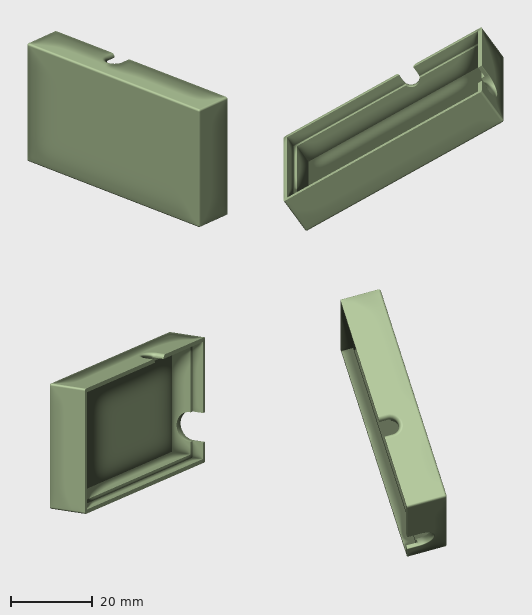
import cadquery as cq

width = 57.7
depth = 10.2
height = 31.8
edge_radius = 0.5

wall = 2.0
front_thickness = wall
rebate_wall = 1.05
rebate_depth = 2.95

top_notch_x = 22.05
top_notch_width = 4.15
top_notch_depth = 4.3
top_lip_radius = 1.0

side_notch_z = 8.95
side_notch_width = 7.5
side_notch_depth = 6.9
side_lip_radius = 0.2

edge_clearance = 0.05


def notch_cutter(plane, center, notch_width, notch_depth):
    """Round-ended notch running in from the open back, cut one wall deep along the plane normal."""
    radius = notch_width / 2
    arc_y = depth - notch_depth + radius
    return (
        cq.Workplane(plane)
        .moveTo(center - radius, depth)
        .lineTo(center - radius, arc_y)
        .threePointArc((center, depth - notch_depth), (center + radius, arc_y))
        .lineTo(center + radius, depth)
        .close()
        .extrude(-wall)
    )


def cavity(side_wall, start_y):
    """Rectangular hollow inside the given side wall, from start_y to the open back."""
    size_x = width - 2 * side_wall
    size_z = height - 2 * side_wall
    block = cq.Workplane("XY").box(size_x, depth - start_y, size_z, centered=False)
    return block.translate((side_wall, start_y, side_wall))


def notch_rim(center, reach):
    """Selector for the rim of a notch mouth: edges centred within reach of its middle, short of the back."""
    (x, z), (reach_x, reach_z) = center, reach
    return cq.selectors.BoxSelector(
        (x - reach_x, front_thickness, z - reach_z),
        (x + reach_x, depth - edge_clearance, z + reach_z),
    )


body = cq.Workplane("XY").box(width, depth, height, centered=False)
body = body.edges("not >Y").fillet(edge_radius)

top_plane = cq.Plane(origin=(0, 0, height), xDir=(1, 0, 0), normal=(0, 0, 1))
body = body.cut(notch_cutter(top_plane, top_notch_x, top_notch_width, top_notch_depth))
top_rim = notch_rim((top_notch_x, height), (top_notch_width, edge_clearance))
body = body.edges(top_rim).fillet(top_lip_radius)

side_plane = cq.Plane(origin=(0, 0, 0), xDir=(0, 0, 1), normal=(-1, 0, 0))
body = body.cut(notch_cutter(side_plane, side_notch_z, side_notch_width, side_notch_depth))
side_rim = notch_rim((0, side_notch_z), (edge_clearance, side_notch_width))
body = body.edges(side_rim).fillet(side_lip_radius)

body = body.cut(cavity(wall, front_thickness))
result = body.cut(cavity(rebate_wall, depth - rebate_depth))